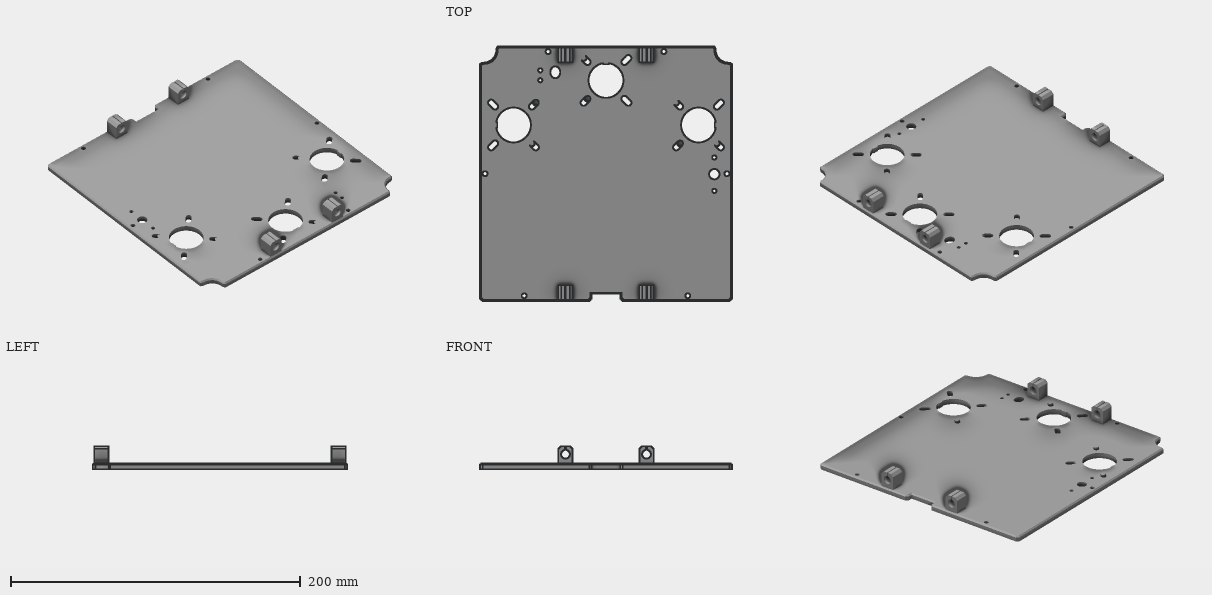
import cadquery as cq
import math

PLATE_X = 174.0
PLATE_Y = 176.0
PLATE_Z = 4.0
TOTAL_Z = 16.0
HALF_X = PLATE_X / 2
HALF_Y = PLATE_Y / 2
EDGE_CHAMFER = 1.0
CORNER_CHAMFER = 1.8

CORNER_CUT = 11.3
CORNER_CUT_RADIUS = 8.6
CORNER_CUT_BEVEL = 1.0
NOTCH_HALF_WIDTH = 9.9
NOTCH_DEPTH = 5.0

MOTOR_X = 63.9
SIDE_MOTOR_Y = 33.6
REAR_MOTOR_Y = 64.5
MOTOR_HOLE_DIAMETER = 24.0
KEY_WIDTH = 4.0
KEY_HEIGHT = 0.9

SLOT_OFFSET = 14.0
SLOT_DIAMETER = 4.0
SLOT_HALF_SPACING = 2.0
SLOT_RADIUS = SLOT_DIAMETER / 2

RIM_HOLE_DIAMETER = 3.3
RIM_HOLE_INSET_X = 3.5
RIM_HOLE_INSET_Y = 3.7
REAR_RIM_HOLE_X = 40.0
FRONT_RIM_HOLE_X = 56.5

PILOT_DIAMETER = 2.8
SWITCH_X = 74.8
SWITCH_Y = -0.4
SWITCH_HOLE_DIAMETER = 7.0
SWITCH_PILOT_SPACING = 23.0
SOCKET_X = -35.0
SOCKET_Y = 70.0
SOCKET_WIDTH = 6.7
SOCKET_LENGTH = 8.1
SOCKET_PILOT_X = -45.4
SOCKET_PILOT_Y = 68.0
SOCKET_PILOT_SPACING = 6.9

LUG_X = 28.0
LUG_SIZE = 10.0
LUG_CHAMFER = 2.0
LUG_HOLE_DIAMETER = 6.0
LUG_HOLE_Z = 10.4
LUG_SLIT = 0.7
LUG_Y = HALF_Y - EDGE_CHAMFER - LUG_SIZE / 2


def plate_outline():
    """Plate contour, counter-clockwise from the inner right corner of the front notch."""
    chamfer = CORNER_CHAMFER
    bevel = CORNER_CUT_BEVEL
    wall_x = HALF_X - CORNER_CUT
    wall_y = HALF_Y - CORNER_CUT
    r = CORNER_CUT_RADIUS
    bulge = r * (1 - math.sqrt(0.5))
    notch_y = -HALF_Y + NOTCH_DEPTH
    return (
        cq.Workplane("XY")
        .moveTo(NOTCH_HALF_WIDTH, notch_y)
        .lineTo(NOTCH_HALF_WIDTH, -HALF_Y + chamfer)
        .lineTo(NOTCH_HALF_WIDTH + chamfer, -HALF_Y)
        .lineTo(HALF_X - chamfer, -HALF_Y)
        .lineTo(HALF_X, -HALF_Y + chamfer)
        .lineTo(HALF_X, wall_y - bevel)
        .lineTo(HALF_X - chamfer, wall_y)
        .lineTo(wall_x + r, wall_y)
        .threePointArc((wall_x + bulge, wall_y + bulge), (wall_x, wall_y + r))
        .lineTo(wall_x, HALF_Y - chamfer)
        .lineTo(wall_x - bevel, HALF_Y)
        .lineTo(-wall_x + bevel, HALF_Y)
        .lineTo(-wall_x, HALF_Y - chamfer)
        .lineTo(-wall_x, wall_y + r)
        .threePointArc((-wall_x - bulge, wall_y + bulge), (-wall_x - r, wall_y))
        .lineTo(-HALF_X + chamfer, wall_y)
        .lineTo(-HALF_X, wall_y - bevel)
        .lineTo(-HALF_X, -HALF_Y + chamfer)
        .lineTo(-HALF_X + chamfer, -HALF_Y)
        .lineTo(-NOTCH_HALF_WIDTH - chamfer, -HALF_Y)
        .lineTo(-NOTCH_HALF_WIDTH, -HALF_Y + chamfer)
        .lineTo(-NOTCH_HALF_WIDTH, notch_y)
        .close()
    )


def drill(points, diameter):
    return cq.Workplane("XY").pushPoints(points).circle(diameter / 2).extrude(PLATE_Z)


def motor_opening(x, y, key_angle):
    """Round opening with a flat key on the side given by key_angle."""
    radius = MOTOR_HOLE_DIAMETER / 2
    key = cq.Workplane("XY").box(2 * KEY_HEIGHT, KEY_WIDTH, 2 * PLATE_Z).translate((radius, 0, 0))
    opening = cq.Workplane("XY").circle(radius).extrude(PLATE_Z).cut(key)
    return opening.rotate((0, 0, 0), (0, 0, 1), key_angle).translate((x, y, 0))


def slot_wire(end_bulge, z):
    """Slot along X; its +X end arc bulges out (+1) or into the slot (-1)."""
    h = SLOT_HALF_SPACING
    r = SLOT_RADIUS
    return (
        cq.Workplane("XY", origin=(0, 0, z))
        .moveTo(-h, -r)
        .lineTo(h, -r)
        .threePointArc((h + end_bulge * r, 0), (h, r))
        .lineTo(-h, r)
        .threePointArc((-h - r, 0), (-h, -r))
        .close()
        .val()
    )


ROUND = (1, 1)
HOLLOW = (-1, -1)
SLOPED = (-1, 1)


def screw_slot(x, y, angle, end_shape):
    bottom, top = end_shape
    wires = [slot_wire(bottom, 0), slot_wire(top, PLATE_Z)]
    slot = cq.Workplane("XY").newObject([cq.Solid.makeLoft(wires, True)])
    return slot.rotate((0, 0, 0), (0, 0, 1), angle).translate((x, y, 0))


def lug(x, y):
    """Lug with a bevelled top, a hole along Y and a slit from the hole to the top."""
    height = TOTAL_Z - PLATE_Z
    slit_height = TOTAL_Z - LUG_HOLE_Z
    body = cq.Workplane("XY").box(LUG_SIZE, LUG_SIZE, height, centered=(True, True, False))
    body = body.translate((0, 0, PLATE_Z)).faces(">Z").edges("|Y").chamfer(LUG_CHAMFER)
    bore = cq.Workplane("XZ", origin=(0, 0, LUG_HOLE_Z)).circle(LUG_HOLE_DIAMETER / 2)
    bore = bore.extrude(LUG_SIZE, both=True)
    slit = cq.Workplane("XY").box(LUG_SLIT, LUG_SIZE, slit_height, centered=(True, True, False))
    return body.cut(bore).cut(slit.translate((0, 0, LUG_HOLE_Z))).translate((x, y, 0))


plate = plate_outline().extrude(PLATE_Z).faces(">Z").edges().chamfer(EDGE_CHAMFER)

MOTORS = [
    (0, REAR_MOTOR_Y, 90, (ROUND, HOLLOW, SLOPED, ROUND)),
    (-MOTOR_X, SIDE_MOTOR_Y, 180, (SLOPED, ROUND, ROUND, HOLLOW)),
    (MOTOR_X, SIDE_MOTOR_Y, 0, (ROUND, HOLLOW, SLOPED, HOLLOW)),
]
SLOT_DIRECTIONS = [(1, 1, 45), (-1, 1, 135), (-1, -1, 45), (1, -1, 135)]

for motor_x, motor_y, key_angle, slot_ends in MOTORS:
    plate = plate.cut(motor_opening(motor_x, motor_y, key_angle))
    for (side_x, side_y, angle), end_shape in zip(SLOT_DIRECTIONS, slot_ends):
        slot_x = motor_x + side_x * SLOT_OFFSET
        slot_y = motor_y + side_y * SLOT_OFFSET
        plate = plate.cut(screw_slot(slot_x, slot_y, angle, end_shape))

rim_holes = []
for side in (-1, 1):
    rim_holes.append((side * (HALF_X - RIM_HOLE_INSET_X), 0))
    rim_holes.append((side * REAR_RIM_HOLE_X, HALF_Y - RIM_HOLE_INSET_Y))
    rim_holes.append((side * FRONT_RIM_HOLE_X, -HALF_Y + RIM_HOLE_INSET_Y))
plate = plate.cut(drill(rim_holes, RIM_HOLE_DIAMETER))

pilot_holes = []
for side in (-1, 1):
    pilot_holes.append((SWITCH_X, SWITCH_Y + side * SWITCH_PILOT_SPACING / 2))
    pilot_holes.append((SOCKET_PILOT_X, SOCKET_PILOT_Y + side * SOCKET_PILOT_SPACING / 2))
plate = plate.cut(drill(pilot_holes, PILOT_DIAMETER))
plate = plate.cut(drill([(SWITCH_X, SWITCH_Y)], SWITCH_HOLE_DIAMETER))

socket = cq.Workplane("XY").ellipse(SOCKET_WIDTH / 2, SOCKET_LENGTH / 2).extrude(PLATE_Z)
plate = plate.cut(socket.translate((SOCKET_X, SOCKET_Y, 0)))

for side_x in (-1, 1):
    for side_y in (-1, 1):
        plate = plate.union(lug(side_x * LUG_X, side_y * LUG_Y))

result = plate